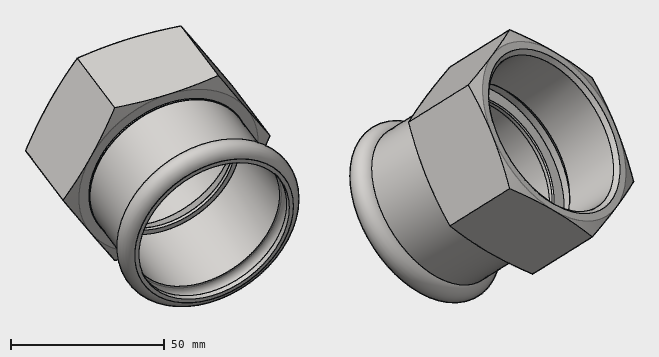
import cadquery as cq
import math

across_corners = 75.05
across_flats = across_corners * math.sqrt(3) / 2
hex_length = 31.0
corner_chamfer_depth = 1.5

total_length = 65.0
neck_diameter = 57.5
collar_diameter = 57.8
collar_length = 0.6
bead_diameter = across_flats
bead_width = 9.2

mouth_diameter = 59.6
thread_diameter = 56.7
mouth_depth = (mouth_diameter - thread_diameter) / 2
thread_end = 22.0
relief_diameter = 61.0
relief_taper = (relief_diameter - thread_diameter) / 2
relief_end = 26.9
throat_diameter = 51.0
throat_chamfer = 0.45
throat_end = 28.6
socket_diameter = 54.5
bead_groove_diameter = 61.0
bead_wall = (bead_diameter - bead_groove_diameter) / 2


def revolve_profile(points):
    """Revolve (x, radius) points about the X axis."""
    return cq.Workplane("XY").polyline(points).close().revolve(360, (0, 0, 0), (1, 0, 0))


def cylinder(start, end, diameter):
    return cq.Workplane("YZ").workplane(offset=start).circle(diameter / 2).extrude(end - start)


def make_hexagon():
    flat_radius = across_flats / 2
    corner_radius = across_corners / 2
    prism = cq.Workplane("YZ").polygon(6, across_corners).extrude(hex_length)
    envelope = revolve_profile([
        (0, 0),
        (0, flat_radius),
        (corner_chamfer_depth, corner_radius),
        (hex_length - corner_chamfer_depth, corner_radius),
        (hex_length, flat_radius),
        (hex_length, 0),
    ])
    return prism.intersect(envelope)


def make_bead():
    """Round-crowned ring with a straight-sided root inside the neck."""
    crown_radius = bead_width / 2
    crown_base = bead_diameter / 2 - crown_radius
    bead_start = total_length - bead_width
    return (
        cq.Workplane("XY")
        .moveTo(bead_start, 0)
        .lineTo(bead_start, crown_base)
        .threePointArc((bead_start + crown_radius, bead_diameter / 2), (total_length, crown_base))
        .lineTo(total_length, 0)
        .close()
        .revolve(360, (0, 0, 0), (1, 0, 0))
    )


def make_bore():
    thread_radius = thread_diameter / 2
    relief_radius = relief_diameter / 2
    throat_radius = throat_diameter / 2
    socket_radius = socket_diameter / 2
    return revolve_profile([
        (0, 0),
        (0, mouth_diameter / 2),
        (mouth_depth, thread_radius),
        (thread_end, thread_radius),
        (thread_end + relief_taper, relief_radius),
        (relief_end, relief_radius),
        (relief_end, throat_radius + throat_chamfer),
        (relief_end + throat_chamfer, throat_radius),
        (throat_end, throat_radius),
        (throat_end, socket_radius),
        (total_length, socket_radius),
        (total_length, 0),
    ])


def make_bead_groove():
    """Internal seal groove that follows the bead with a constant wall."""
    groove_radius = bead_width / 2 - bead_wall
    groove_base = bead_groove_diameter / 2 - groove_radius
    middle = total_length - bead_width / 2
    start = middle - groove_radius
    end = middle + groove_radius
    return (
        cq.Workplane("XY")
        .moveTo(start, 0)
        .lineTo(start, groove_base)
        .threePointArc((middle, bead_groove_diameter / 2), (end, groove_base))
        .lineTo(end, 0)
        .close()
        .revolve(360, (0, 0, 0), (1, 0, 0))
    )


neck = cylinder(hex_length, total_length, neck_diameter)
collar = cylinder(hex_length, hex_length + collar_length, collar_diameter)
body = make_hexagon().union(collar).union(neck).union(make_bead())
result = body.cut(make_bore()).cut(make_bead_groove())